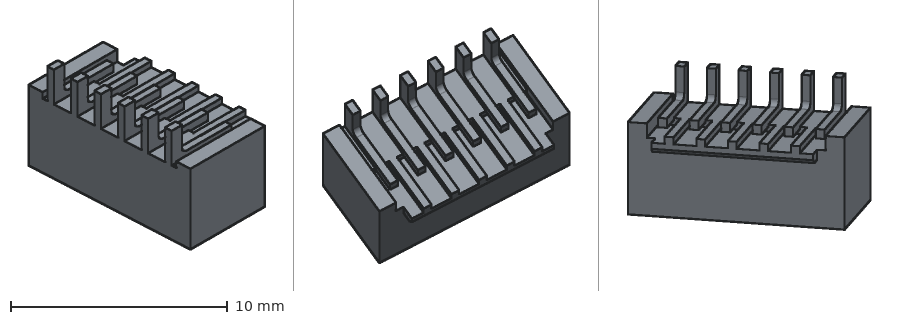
import cadquery as cq

body_width = 10.3
body_depth = 5.0
body_height = 4.45

recess_width = 8.5
recess_depth = 0.35
recess_floor = body_height - recess_depth

ledge_width = 7.7
ledge_length = 0.75
ledge_height = 0.82
ledge_chamfer = 0.2
rear_end = body_depth + ledge_length

trough_start = 2.7
trough_depth = 0.34
trough_floor = recess_floor - trough_depth
rib_width = 0.42

contact_count = 6
contact_span = 7.5
contact_pitch = contact_span / (contact_count - 1)
contact_width = 0.42
contact_length = 4.0
bar_thickness = 0.45
bar_top = body_height
bar_bottom = bar_top - bar_thickness
post_depth = 0.7
post_top = 6.0
bend_radius = 0.3


def row_positions(count):
    """X positions of evenly pitched features, centred on the housing."""
    return [(i - (count - 1) / 2) * contact_pitch for i in range(count)]


def block(width, depth, height, x_center, y_front, z_bottom):
    """Box centred on x_center, running back from y_front and up from z_bottom."""
    box = cq.Workplane("XY").box(width, depth, height, centered=(True, False, False))
    return box.translate((x_center, y_front, z_bottom))


def make_ledge():
    """Rear ledge, rooted in the housing, chamfered along its lower rear edge."""
    ledge = block(ledge_width, rear_end - trough_start, ledge_height,
                  0, trough_start, recess_floor - ledge_height)
    return ledge.faces(">Y").edges("<Z").chamfer(ledge_chamfer)


def make_trough():
    """Cutter for the lowered rear part of the recess, leaving the ribs."""
    trough_length = rear_end - trough_start
    trough = block(recess_width, trough_length, trough_depth, 0, trough_start, trough_floor)
    for x in row_positions(contact_count - 1):
        trough = trough.cut(block(rib_width, trough_length, trough_depth, x, trough_start, trough_floor))
    return trough


def make_contact(x_center):
    """Upright post at the front joined by a rounded inner bend to a flat bar."""
    profile = (
        cq.Workplane("YZ")
        .moveTo(0, bar_bottom)
        .lineTo(contact_length, bar_bottom)
        .lineTo(contact_length, bar_top)
        .lineTo(post_depth + bend_radius, bar_top)
        .radiusArc((post_depth, bar_top + bend_radius), bend_radius)
        .lineTo(post_depth, post_top)
        .lineTo(0, post_top)
        .close()
    )
    return profile.extrude(contact_width / 2, both=True).translate((x_center, 0, 0))


housing = block(body_width, body_depth, body_height, 0, 0, 0)
housing = housing.cut(block(recess_width, body_depth, recess_depth, 0, 0, recess_floor))
housing = housing.union(make_ledge()).cut(make_trough())

result = housing
for contact_x in row_positions(contact_count):
    result = result.union(make_contact(contact_x))